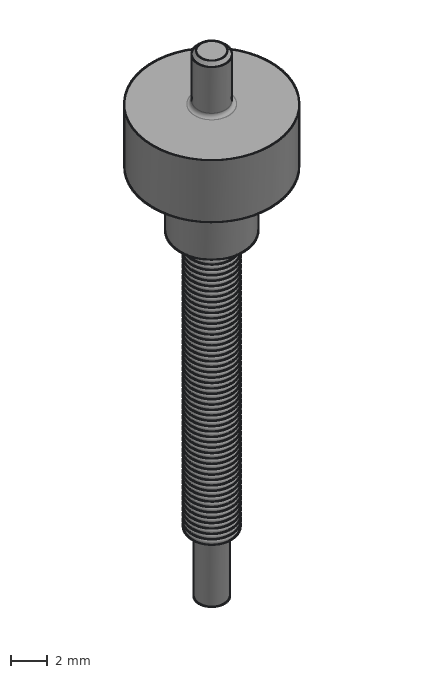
import cadquery as cq

overall_height = 38.55
screw_tip_length = 4.78
sleeve_bottom = 25.85
head_bottom = 30.37
head_top = 34.75

head_diameter = 9.52
sleeve_diameter = 5.1
stud_diameter = 2.2
stud_root_fillet = 0.25
stud_tip_chamfer = 0.25

screw_tip_diameter = 2.0
ridge_diameter = 3.15
ridge_count = 55
ridge_height = 0.15
neck_length = 0.1
ridge_pitch = (sleeve_bottom - neck_length - screw_tip_length) / ridge_count


def cylinder(diameter, bottom, top):
    """Upright cylinder on the Z axis between two heights."""
    return cq.Workplane("XY").workplane(offset=bottom).circle(diameter / 2).extrude(top - bottom)


def make_knob():
    """Round head with a sleeve below it and a filleted, chamfered stud on top."""
    head = cylinder(head_diameter, head_bottom, head_top)
    sleeve = cylinder(sleeve_diameter, sleeve_bottom, head_bottom)
    stud = cylinder(stud_diameter, head_top, overall_height).faces(">Z").chamfer(stud_tip_chamfer)
    knob = head.union(sleeve).union(stud)

    on_head_top = cq.selectors.NearestToPointSelector((head_diameter / 3, 0, head_top))
    smallest_circle = cq.selectors.RadiusNthSelector(0)
    return knob.faces(on_head_top).edges(smallest_circle).fillet(stud_root_fillet)


def make_screw():
    """Screw with a short neck, rounded ring ridges and a plain tip, butting against the sleeve."""
    crest_radius = ridge_diameter / 2
    valley_radius = crest_radius - ridge_height
    tip_radius = screw_tip_diameter / 2

    section = (
        cq.Workplane("YZ")
        .moveTo(0, 0)
        .lineTo(-tip_radius, 0)
        .lineTo(-tip_radius, screw_tip_length)
        .lineTo(-valley_radius, screw_tip_length)
    )
    for ridge in range(ridge_count):
        bottom = screw_tip_length + ridge * ridge_pitch
        section = section.threePointArc(
            (-crest_radius, bottom + ridge_pitch / 2),
            (-valley_radius, bottom + ridge_pitch),
        )
    section = section.lineTo(-valley_radius, sleeve_bottom).lineTo(0, sleeve_bottom).close()
    return section.revolve(360, (0, 0, 0), (0, 1, 0))


knob = make_knob()
screw = make_screw()

result = cq.Compound.makeCompound([knob.val(), screw.val()])